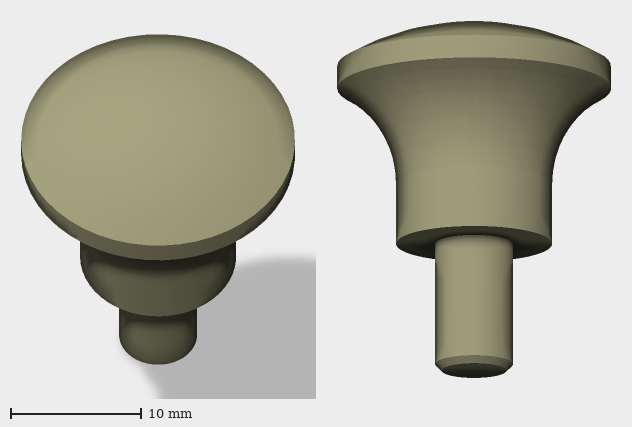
import cadquery as cq
import math

total_height = 27.0
head_diameter = 21.0
neck_diameter = 12.0
pin_diameter = 6.0
pin_length = 10.0
pin_chamfer = 0.5
flare_radius = 8.5
rim_height = 1.78
dome_height = 3.0

head_radius = head_diameter / 2
neck_radius = neck_diameter / 2
pin_radius = pin_diameter / 2

rim_top = total_height - dome_height
rim_bottom = rim_top - rim_height

flare_center_radius = neck_radius + flare_radius
flare_end_angle = math.acos((flare_center_radius - head_radius) / flare_radius)
neck_top = rim_bottom - flare_radius * math.sin(flare_end_angle)
flare_middle = (
    flare_center_radius - flare_radius * math.cos(flare_end_angle / 2),
    neck_top + flare_radius * math.sin(flare_end_angle / 2),
)

dome_radius = (head_radius**2 + dome_height**2) / (2 * dome_height)
dome_half_angle = math.asin(head_radius / dome_radius)
dome_middle = (
    dome_radius * math.sin(dome_half_angle / 2),
    total_height - dome_radius * (1 - math.cos(dome_half_angle / 2)),
)

profile = (
    cq.Workplane("XZ")
    .moveTo(0, 0)
    .lineTo(pin_radius - pin_chamfer, 0)
    .lineTo(pin_radius, pin_chamfer)
    .lineTo(pin_radius, pin_length)
    .lineTo(neck_radius, pin_length)
    .lineTo(neck_radius, neck_top)
    .threePointArc(flare_middle, (head_radius, rim_bottom))
    .lineTo(head_radius, rim_top)
    .threePointArc(dome_middle, (0, total_height))
    .close()
)

result = profile.revolve(360, (0, 0, 0), (0, 1, 0))